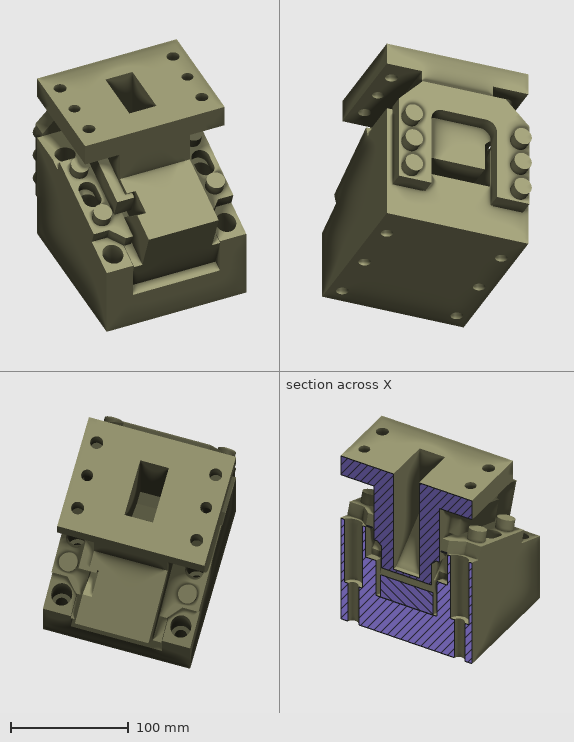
import cadquery as cq
import math


overall_length = 185.2
width = 130.0
overall_height = 170.0
base_length = 145.0
base_flat_height = 105.2

bed_angle = 20.0
wedge_angle = 40.0
cos_bed = math.cos(math.radians(bed_angle))
sin_bed = math.sin(math.radians(bed_angle))
tan_wedge = math.tan(math.radians(wedge_angle))
wedge_slope_to_bed = math.tan(math.radians(bed_angle + wedge_angle))
wedge_height_at_back = 41.0
wedge_u_at_zero = -wedge_height_at_back / (sin_bed + cos_bed * tan_wedge)

chamber_floor_v = 46.0
bed_v = 80.0
flange_top_v = 110.0
gib_thickness = 12.0
gib_top_v = flange_top_v + gib_thickness
slide_top_v = 150.0

flange_half_width = 40.0
flange_side_gap = 0.4
chamber_half_width = 30.0
chamber_end_u = 56.7
mount_hole_x = (30.0, 80.0, 130.0)
hole_y = 52.6
mount_hole_diameter = 10.7
mount_bore_diameter = 18.0
mount_bore_floor = 40.0

gib_start_u = -6.9
gib_end_u = 93.3
gib_corner_u = 12.0
gib_corner_start_y = 40.0
gib_corner_end_y = 50.7
gib_inner_y = 33.5
screw_diameter = 16.0
screw_height = 10.0
gib_screw_u = (18.3, 68.3)
gib_slot_diameter = 16.0
gib_slot_length = 25.7

plate_thickness = 15.0
plate_width = 120.0
plate_bottom = 30.0
plate_height = 100.0
plate_corner_y = 21.9
plate_corner_z = 22.5
opening_top = 105.2
opening_radius = 10.0
relief_depth = 0.7
plate_screw_y = 50.0
plate_screw_z = (40.0, 65.0, 90.0)

neck_width = 65.0
slide_tip_x = overall_length - plate_thickness - screw_height
slide_end_u = (slide_tip_x - slide_top_v * sin_bed) / cos_bed
flange_back_x = 42.0
lug_width = 52.2
lug_back_u = 9.0
lug_length = 20.0
lip_length = 16.7
slot_length = 23.2
slot_depth = 8.1

driver_length = 100.0
driver_plate_thickness = 20.0
shoulder_height = 94.0
tongue_width = 50.0
tongue_bottom = 65.2
tongue_chamfer = 4.0
window_start_x = 25.0
window_length = 50.0
window_width = 25.2
window_depth = 99.0
driver_hole_x = (20.0, 80.0)
driver_hole_diameter = 11.1
dowel_x = 50.0
dowel_diameter = 10.2

hook_start_u = 4.3
hook_end_u = 70.0
hook_bottom_v = 125.0
hook_top_v = 145.0
hook_outer_y = 41.9
hook_tooth_depth = 6.5
hook_tooth_gap = 0.7


def wedge_x(z):
    """X on the wedge face at height z."""
    return (z - wedge_height_at_back) / tan_wedge


def wedge_z(x):
    """Height of the wedge face at x."""
    return wedge_height_at_back + x * tan_wedge


def wedge_u(v):
    """u on the wedge face at level v."""
    return wedge_u_at_zero + v / wedge_slope_to_bed


def wedge_v(u):
    """Level v of the wedge face at u."""
    return (u - wedge_u_at_zero) * wedge_slope_to_bed


def upright_point(u, v):
    """X and Z of a point given along and square to the bed."""
    return (u * cos_bed + v * sin_bed, v * cos_bed - u * sin_bed)


def slope_z(x, v):
    """Height at x of the inclined plane at level v."""
    return (v - x * sin_bed) / cos_bed


def upright_prism(outline, prism_width):
    """Prism centred on Y = 0 from an outline in X and Z."""
    return cq.Workplane("XZ").polyline(outline).close().extrude(prism_width / 2, both=True)


def inclined_prism(outline, prism_width):
    """Prism centred on Y = 0 from an outline in u and v."""
    return upright_prism([upright_point(u, v) for u, v in outline], prism_width)


def side_prism(outline, inner_y, outer_y):
    """Prism from an outline in u and v, from inner_y to outer_y away from the middle on the -Y side."""
    points = [upright_point(u, v) for u, v in outline]
    return cq.Workplane("XZ", origin=(0, -inner_y, 0)).polyline(points).close().extrude(outer_y - inner_y)


def inclined_level(v):
    """Plane parallel to the bed at level v, with axes u and Y."""
    return cq.Workplane(cq.Plane((v * sin_bed, 0, v * cos_bed), (cos_bed, 0, -sin_bed), (sin_bed, 0, cos_bed)))


def inclined_rectangle(u_start, u_end, v_start, v_end):
    """Corners of a rectangle square to the bed."""
    return [(u_start, v_start), (u_end, v_start), (u_end, v_end), (u_start, v_end)]


def make_gib(side):
    """Gib with notched outer corners and two screw heads; side is +1 or -1 along Y."""
    outline = [
        (gib_start_u, side * gib_inner_y),
        (gib_end_u, side * gib_inner_y),
        (gib_end_u, side * gib_corner_start_y),
        (gib_end_u - gib_corner_u, side * gib_corner_end_y),
        (gib_end_u - gib_corner_u, side * width / 2),
        (gib_start_u + gib_corner_u, side * width / 2),
        (gib_start_u + gib_corner_u, side * gib_corner_end_y),
        (gib_start_u, side * gib_corner_start_y),
    ]
    gib = inclined_level(flange_top_v).polyline(outline).close().extrude(gib_thickness)
    points = [(u, side * hole_y) for u in gib_screw_u]
    heads = inclined_level(gib_top_v).pushPoints(points).circle(screw_diameter / 2).extrude(screw_height)
    gib_middle_u = (gib_start_u + gib_end_u) / 2
    slot = (
        inclined_level(flange_top_v)
        .center(gib_middle_u, side * hole_y)
        .slot2D(gib_slot_length, gib_slot_diameter)
        .extrude(gib_thickness)
    )
    return gib.union(heads).cut(slot)


def make_stop_plate():
    """Arched plate behind the driver, with six screw heads."""
    back = cq.Workplane("YZ", origin=(-plate_thickness, 0, 0))
    half = plate_width / 2
    top = plate_bottom + plate_height
    outline = [
        (-half, plate_bottom),
        (half, plate_bottom),
        (half, top - plate_corner_z),
        (half - plate_corner_y, top),
        (plate_corner_y - half, top),
        (-half, top - plate_corner_z),
    ]
    plate = back.polyline(outline).close().extrude(plate_thickness)
    opening = (
        cq.Workplane("XY", origin=(-plate_thickness, 0, plate_bottom))
        .box(plate_thickness, 2 * chamber_half_width, opening_top - plate_bottom, centered=(False, True, False))
        .edges("|X and >Z")
        .fillet(opening_radius)
    )
    relief = cq.Workplane("XY", origin=(-relief_depth, 0, plate_bottom)).box(
        relief_depth, neck_width, plate_height, centered=(False, True, False)
    )
    points = [(side * plate_screw_y, z) for side in (-1, 1) for z in plate_screw_z]
    heads = back.pushPoints(points).circle(screw_diameter / 2).extrude(-screw_height)
    return plate.cut(opening).cut(relief).union(heads)


def make_base():
    """Base with inclined bed, spring chamber, gibs, stop plate and mounting holes."""
    knee_x = (flange_top_v - base_flat_height * cos_bed) / sin_bed
    outline = [
        (0, 0),
        (base_length, 0),
        (base_length, slope_z(base_length, flange_top_v)),
        (knee_x, base_flat_height),
        (0, base_flat_height),
    ]
    base = upright_prism(outline, width)

    channel_width = 2 * (flange_half_width + flange_side_gap)
    channel = inclined_rectangle(-base_length, 2 * base_length, bed_v, slide_top_v)
    base = base.cut(inclined_prism(channel, channel_width))
    chamber = inclined_rectangle(-base_length, chamber_end_u, chamber_floor_v, bed_v)
    base = base.cut(inclined_prism(chamber, 2 * chamber_half_width))

    points = [(x, side * hole_y) for x in mount_hole_x for side in (-1, 1)]
    holes = cq.Workplane("XY").pushPoints(points).circle(mount_hole_diameter / 2).extrude(overall_height)
    bore_plane = cq.Workplane("XY", origin=(0, 0, mount_bore_floor))
    bores = bore_plane.pushPoints(points).circle(mount_bore_diameter / 2).extrude(overall_height)
    base = base.cut(holes).cut(bores)

    for side in (-1, 1):
        base = base.union(make_gib(side))
    return base.union(make_stop_plate())


def make_slide():
    """Flanged slide with the wedge face at its back, a lug below and a hook slot in its -Y side."""
    flange = [
        (flange_back_x, slope_z(flange_back_x, bed_v)),
        upright_point(slide_end_u, bed_v),
        upright_point(slide_end_u, flange_top_v),
        upright_point(wedge_u(flange_top_v), flange_top_v),
        (flange_back_x, wedge_z(flange_back_x)),
    ]
    neck = [
        (wedge_u(flange_top_v), flange_top_v),
        (slide_end_u, flange_top_v),
        (slide_end_u, slide_top_v),
        (wedge_u(slide_top_v), slide_top_v),
    ]
    lug_front_u = lug_back_u + lug_length
    lug = [
        (lug_back_u, chamber_floor_v),
        (lug_front_u, chamber_floor_v),
        (lug_front_u, flange_top_v),
        (wedge_u(flange_top_v), flange_top_v),
        (lug_back_u, wedge_v(lug_back_u)),
    ]
    slot_end = lip_length + slot_length
    slot = [
        (wedge_u(flange_top_v) + lip_length, flange_top_v),
        (wedge_u(flange_top_v) + slot_end, flange_top_v),
        (wedge_u(slide_top_v) + slot_end, slide_top_v),
        (wedge_u(slide_top_v) + lip_length, slide_top_v),
    ]
    slide = upright_prism(flange, 2 * flange_half_width)
    slide = slide.union(inclined_prism(neck, neck_width))
    slide = slide.union(inclined_prism(lug, lug_width))
    return slide.cut(side_prism(slot, neck_width / 2 - slot_depth, neck_width / 2))


def make_hook():
    """Bar along the -Y side of the driver with a tooth that reaches into the slide's slot."""
    bar = inclined_rectangle(hook_start_u, hook_end_u, hook_bottom_v, hook_top_v)
    tooth_offset = lip_length + hook_tooth_gap
    tooth = [
        (wedge_u(hook_bottom_v) + tooth_offset, hook_bottom_v),
        (hook_end_u, hook_bottom_v),
        (hook_end_u, hook_top_v),
        (wedge_u(hook_top_v) + tooth_offset, hook_top_v),
    ]
    neck_side = neck_width / 2
    hook = side_prism(bar, neck_side, hook_outer_y)
    return hook.union(side_prism(tooth, neck_side - hook_tooth_depth, neck_side))


def head_hole(x, side, diameter):
    """Cutter for a hole through the driver head; side is +1 or -1 along Y."""
    bottom = cq.Workplane("XY", origin=(x, side * hole_y, overall_height - driver_plate_thickness))
    return bottom.circle(diameter / 2).extrude(driver_plate_thickness)


def make_driver():
    """T-headed wedge with a window, mounting and dowel holes and the return hook."""
    plate_underside = overall_height - driver_plate_thickness
    head = cq.Workplane("XY", origin=(0, 0, plate_underside)).box(
        driver_length, width, driver_plate_thickness, centered=(False, True, False)
    )
    wedge = [
        (0, tongue_bottom),
        (wedge_x(tongue_bottom), tongue_bottom),
        upright_point(wedge_u(slide_top_v), slide_top_v),
        (driver_length, slope_z(driver_length, slide_top_v)),
        (driver_length, plate_underside),
        (0, plate_underside),
    ]
    stem = upright_prism(wedge, neck_width)

    half_neck = neck_width / 2
    half_tongue = tongue_width / 2
    section = [
        (-half_tongue, tongue_bottom),
        (half_tongue, tongue_bottom),
        (half_tongue, shoulder_height - tongue_chamfer),
        (half_tongue + tongue_chamfer, shoulder_height),
        (half_neck, shoulder_height),
        (half_neck, plate_underside),
        (-half_neck, plate_underside),
        (-half_neck, shoulder_height),
        (-half_tongue - tongue_chamfer, shoulder_height),
        (-half_tongue, shoulder_height - tongue_chamfer),
    ]
    stem = stem.intersect(cq.Workplane("YZ").polyline(section).close().extrude(driver_length))
    driver = head.union(stem).union(make_hook())

    window = cq.Workplane("XY", origin=(window_start_x, 0, overall_height - window_depth)).box(
        window_length, window_width, window_depth, centered=(False, True, False)
    )
    for side in (-1, 1):
        for x in driver_hole_x:
            driver = driver.cut(head_hole(x, side, driver_hole_diameter))
        driver = driver.cut(head_hole(dowel_x, side, dowel_diameter))
    return driver.cut(window)


base = make_base()
slide = make_slide()
driver = make_driver()

result = cq.Compound.makeCompound([base.solids().val(), slide.solids().val(), driver.solids().val()])